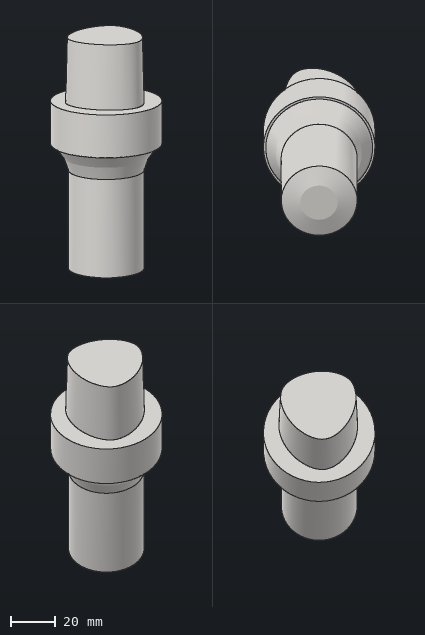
import cadquery as cq
import math

total_height = 110.0
tip_height = 2.4
shaft_top = 48.0
neck_middle = 53.9
neck_top = 59.4
collar_bottom = 60.1
collar_top = 80.0

tip_radius = 8.4
shaft_radius = 34.0 / 2
neck_middle_radius = 19.1
neck_top_radius = 23.1
neck_root_radius = 23.9
collar_radius = 49.9 / 2

lobe_count = 3
lobe_offset = 1.1
curve_points = 72
shank_base_width = 35.2
shank_end_width = 33.8


def make_body():
    """Revolve the shaft, the flared neck and the collar about Z."""
    profile = [
        (0, 0),
        (tip_radius, 0),
        (shaft_radius, tip_height),
        (shaft_radius, shaft_top),
        (neck_middle_radius, neck_middle),
        (neck_top_radius, neck_top),
        (neck_root_radius, collar_bottom),
        (collar_radius, collar_bottom),
        (collar_radius, collar_top),
        (0, collar_top),
    ]
    return cq.Workplane("XZ").polyline(profile).close().revolve(360, (0, 0), (0, 1))


def lobed_wire(width, height):
    """Make a closed constant-width curve with one lobe pointing toward -Y."""

    def point(turn):
        angle = 2 * math.pi * turn
        reach = width / 2 + lobe_offset * math.sin(lobe_count * angle)
        slope = lobe_count * lobe_offset * math.cos(lobe_count * angle)
        x = reach * math.cos(angle) - slope * math.sin(angle)
        y = reach * math.sin(angle) + slope * math.cos(angle)
        return x, y

    points = [cq.Vector(*point(i / curve_points), height) for i in range(curve_points)]
    return cq.Wire.assembleEdges([cq.Edge.makeSpline(points, periodic=True)])


def make_shank():
    """Loft the tapered shank from the collar to the upper end."""
    base = lobed_wire(shank_base_width, collar_top)
    end = lobed_wire(shank_end_width, total_height)
    return cq.Workplane(cq.Solid.makeLoft([base, end], True))


result = make_body().union(make_shank())